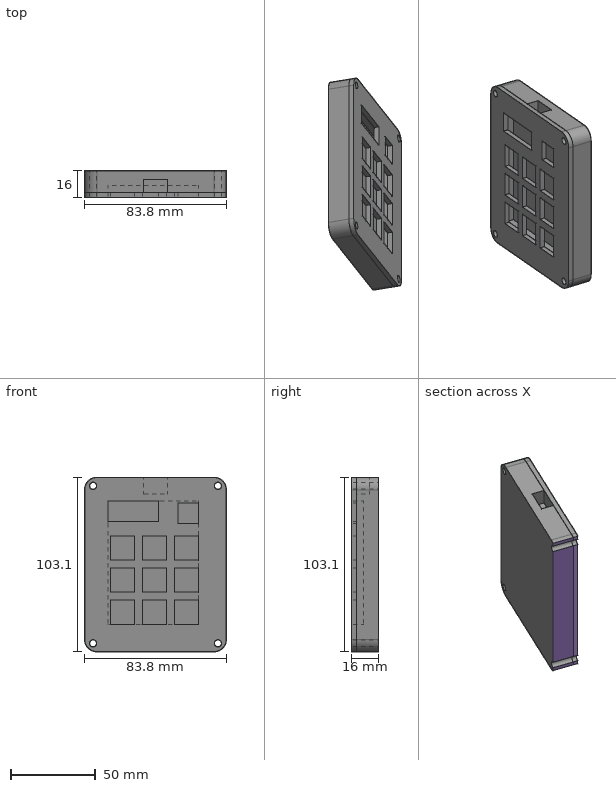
import cadquery as cq

width = 83.8
height = 103.1
depth = 16.0
corner_radius = 7.4
plate_thickness = 3.0

screw_diameter = 4.0
screw_inset = 5.0

key_size = 14.2
key_pitch = 19.0
key_columns = 3
key_rows = 3
key_center_x = -0.6
key_center_z = -9.2

display_width = 30.0
display_height = 12.1
display_x = -13.1
display_z = 31.4
button_size = 12.3
button_z = 30.3

cavity_depth = 4.0
cable_width = 14.2
cable_depth = 7.6
cable_reach = 10.0

front_y = -depth / 2
seam_y = front_y + plate_thickness
back_y = depth / 2
key_grid_right = key_center_x + key_pitch * (key_columns - 1) / 2 + key_size / 2
key_grid_bottom = key_center_z - key_pitch * (key_rows - 1) / 2 - key_size / 2
button_x = key_grid_right - button_size / 2

cavity_left = display_x - display_width / 2
cavity_right = key_grid_right
cavity_top = display_z + display_height / 2
cavity_bottom = key_grid_bottom


def block(x_min, x_max, y_min, y_max, z_min, z_max):
    """Box between the given limits."""
    size = (x_max - x_min, y_max - y_min, z_max - z_min)
    return cq.Workplane("XY").box(*size, centered=False).translate((x_min, y_min, z_min))


def case_layer(y_min, y_max):
    """Rounded slab of the case outline with the four screw holes."""
    slab = block(-width / 2, width / 2, y_min, y_max, -height / 2, height / 2)
    return (
        slab.edges("|Y").fillet(corner_radius)
        .faces("<Y").workplane(centerOption="CenterOfBoundBox")
        .rect(width - 2 * screw_inset, height - 2 * screw_inset, forConstruction=True)
        .vertices().hole(screw_diameter)
    )


def window(x, z, window_width, window_height):
    """Cutter for a rectangular opening through the face plate."""
    return block(
        x - window_width / 2, x + window_width / 2,
        front_y, seam_y,
        z - window_height / 2, z + window_height / 2,
    )


def make_face_plate():
    plate = case_layer(front_y, seam_y)
    plate = plate.cut(window(display_x, display_z, display_width, display_height))
    plate = plate.cut(window(button_x, button_z, button_size, button_size))
    for column in range(key_columns):
        for row in range(key_rows):
            x = key_center_x + (column - (key_columns - 1) / 2) * key_pitch
            z = key_center_z + (row - (key_rows - 1) / 2) * key_pitch
            plate = plate.cut(window(x, z, key_size, key_size))
    return plate


def make_housing():
    cavity = block(
        cavity_left, cavity_right,
        seam_y, seam_y + cavity_depth,
        cavity_bottom, cavity_top,
    )
    cable_opening = block(
        -cable_width / 2, cable_width / 2,
        seam_y, seam_y + cable_depth,
        height / 2 - cable_reach, height / 2,
    )
    return case_layer(seam_y, back_y).cut(cavity).cut(cable_opening)


face_plate = make_face_plate()
housing = make_housing()

result = cq.Compound.makeCompound([face_plate.val(), housing.val()])